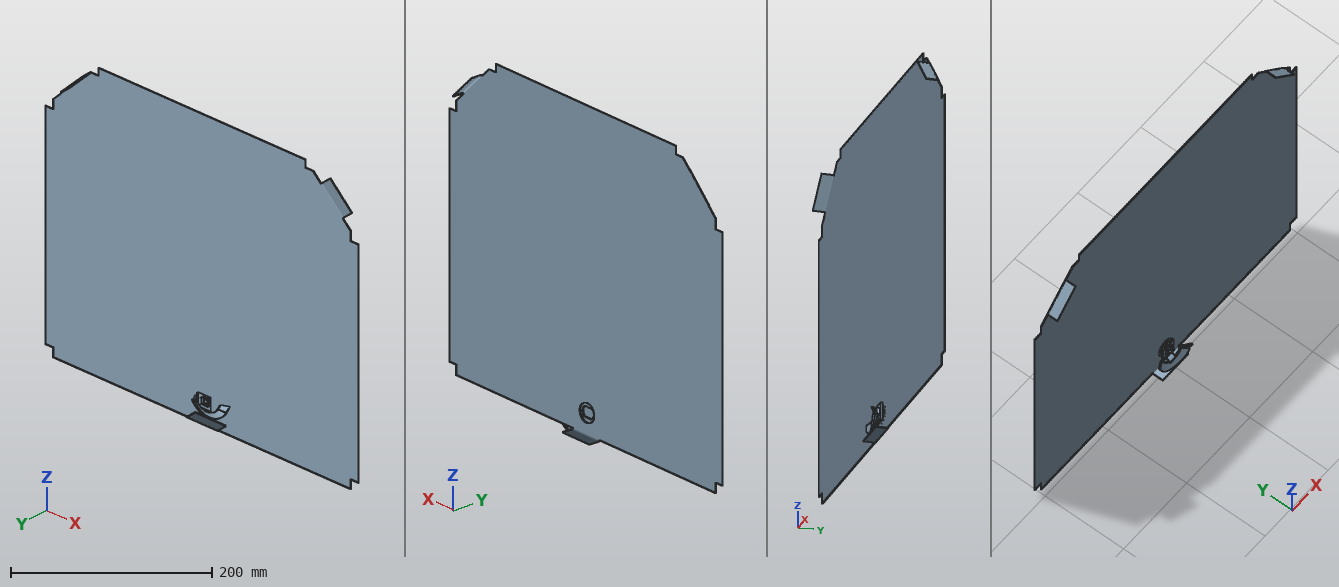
import cadquery as cq
import math


panel_width = 415.5
sheet = 1.0
bend_inner = 0.5
bend_outer = bend_inner + sheet
overall_height = 357.5
panel_height = overall_height - bend_outer
side_notch = 10.5
top_notch = 9.0
bottom_notch = 11.2
top_half_width = 137.0
corner_cut = 50.0
side_top_drop = 70.5
tab_length = 40.7
corner_tab_turn = 135.0
tab_depth = 12.5

latch_height = 22.5
barrel_diameter = 16.5
spacer = 1.2
block_front = 3.5
shaft_width = 9.0
shaft_height = 7.5

head_diameter = 21.0
head_thickness = 1.45
grip_diameter = 15.5
grip_height = 11.2
bolt_back = 3.0
shaft_front = 6.2
socket = 6.0
socket_depth = 2.5

block_size = 16.5
foot_height = 1.45
foot_front = 4.0
cam_sheet = 1.5
neck_width = 8.7
neck_front = 9.0
neck_overlap = 0.62
blade_inner_radius = 13.7
blade_outer_radius = 21.5
blade_start = 198.0
blade_end = 333.0
blade_tilt = 22.0
blade_reach = 29.0
left_rise = 10.0
middle_rise = 2.3
right_rise = 18.5
lip_end = 352.0
lip_rise = 11.0
lip_slant = 25.0
lip_angle = 28.0


def facing_front(y):
    """Workplane centred on the latch axis at depth y, drawn in X and Z, normal to -Y."""
    return cq.Workplane("XZ", origin=(0, y, latch_height))


def polar(radius, degrees):
    """Point at a radius and direction from the origin."""
    angle = math.radians(degrees)
    return radius * math.cos(angle), radius * math.sin(angle)


def make_tab(x, z, turn):
    """Tab bent to the front at the edge point (x, z); turn = 0 lies under a bottom edge."""
    bend_middle = -45
    outer_y, outer_z = polar(bend_outer, bend_middle)
    inner_y, inner_z = polar(bend_inner, bend_middle)
    tab = (
        cq.Workplane("YZ", origin=(-tab_length / 2, 0, 0))
        .moveTo(sheet, 0)
        .threePointArc((outer_y - bend_inner, outer_z), (-bend_inner, -bend_outer))
        .lineTo(-tab_depth, -bend_outer)
        .lineTo(-tab_depth, -bend_inner)
        .lineTo(-bend_inner, -bend_inner)
        .threePointArc((inner_y - bend_inner, inner_z), (0, 0))
        .close()
        .extrude(tab_length)
    )
    return tab.rotate((0, 0, 0), (0, 1, 0), turn).translate((x, 0, z))


def make_panel():
    """Notched sheet with cut top corners, three tabs and the hole for the latch barrel."""
    half = panel_width / 2
    inner = half - side_notch
    shoulder = panel_height - top_notch
    right_side = [
        (inner, 0),
        (inner, bottom_notch),
        (half, bottom_notch),
        (half, panel_height - side_top_drop),
        (inner, panel_height - side_top_drop),
        (inner, shoulder - corner_cut),
        (inner - corner_cut, shoulder),
        (top_half_width, shoulder),
        (top_half_width, panel_height),
    ]
    left_side = [(-x, z) for x, z in reversed(right_side)]
    panel = cq.Workplane("XZ", origin=(0, sheet, 0)).polyline(right_side + left_side).close().extrude(sheet)
    cut_middle_x = inner - corner_cut / 2
    cut_middle_z = shoulder - corner_cut / 2
    panel = panel.union(make_tab(0, 0, 0))
    for side in (-1, 1):
        panel = panel.union(make_tab(side * cut_middle_x, cut_middle_z, -side * corner_tab_turn))
    hole = facing_front(sheet).circle(barrel_diameter / 2).extrude(sheet)
    return panel.cut(hole)


def make_bolt():
    """Grip and head behind the panel, barrel through it and shaft in front."""
    back = sheet + bolt_back
    grip = facing_front(back).circle(grip_diameter / 2).extrude(bolt_back)
    flats = facing_front(back).rect(grip_diameter, grip_height).extrude(bolt_back)
    head = facing_front(sheet + head_thickness).circle(head_diameter / 2).extrude(head_thickness)
    barrel = facing_front(sheet).circle(barrel_diameter / 2).extrude(sheet + spacer)
    shaft = facing_front(-spacer).rect(shaft_width, shaft_height).extrude(shaft_front - spacer)
    recess = facing_front(-shaft_front + socket_depth).rect(socket, socket).extrude(socket_depth)
    return grip.intersect(flats).union(head).union(barrel).union(shaft).cut(recess)


def arc_band(start, end):
    """Prism over the band around the latch axis between two directions."""
    middle = (start + end) / 2
    return (
        facing_front(0)
        .moveTo(*polar(blade_inner_radius, start))
        .lineTo(*polar(blade_outer_radius, start))
        .threePointArc(polar(blade_outer_radius, middle), polar(blade_outer_radius, end))
        .lineTo(*polar(blade_inner_radius, end))
        .threePointArc(polar(blade_inner_radius, middle), polar(blade_inner_radius, start))
        .close()
        .extrude(blade_reach)
    )


def make_blade():
    """Curved strip leaning to the front, trimmed to a band around the latch axis."""
    tilt = math.radians(blade_tilt)
    down = (0, -math.sin(tilt), -math.cos(tilt))
    section = cq.Plane(origin=(0, 0, latch_height), xDir=(1, 0, 0), normal=down)
    strip = (
        cq.Workplane(section)
        .moveTo(-blade_reach, left_rise)
        .threePointArc((0, middle_rise), (blade_reach, right_rise))
        .offset2D(cam_sheet / 2)
        .extrude(blade_reach, both=True)
    )
    return strip.intersect(arc_band(blade_start, blade_end))


def make_lip():
    """Steeper end of the blade, folded to the front along a radial line."""
    root_x, root_z = polar((blade_inner_radius + blade_outer_radius) / 2, blade_end)
    out_x, out_z = polar(1, blade_end)
    slant = math.tan(math.radians(lip_slant))
    section = cq.Plane(
        origin=(root_x, -lip_rise, latch_height + root_z),
        xDir=(-out_z, 0, out_x),
        normal=(out_x, -slant, out_z),
    )
    strip = (
        cq.Workplane(section)
        .transformed(rotate=(0, 0, lip_angle))
        .rect(blade_reach, cam_sheet)
        .extrude(blade_reach / 2, both=True)
    )
    return strip.intersect(arc_band(blade_end, lip_end))


def make_neck():
    """Sloping strip from the foot of the block into the inner edge of the blade."""
    top = latch_height - block_size / 2
    bottom = latch_height - blade_inner_radius - neck_overlap
    profile = [
        (-spacer, top),
        (-block_front, top),
        (-neck_front, bottom + cam_sheet),
        (-neck_front, bottom),
        (-spacer, top - foot_height),
    ]
    return cq.Workplane("YZ", origin=(-neck_width / 2, 0, 0)).polyline(profile).close().extrude(neck_width)


def make_cam():
    """Square block on the shaft with a foot, and the blade hanging from it by the neck."""
    block = facing_front(-spacer).rect(block_size, block_size).extrude(block_front - spacer)
    hole = facing_front(-spacer).rect(shaft_width, shaft_height).extrude(block_front)
    foot_middle = -(block_size + foot_height) / 2
    foot_face = facing_front(-spacer).center(0, foot_middle).rect(block_size, foot_height)
    foot = foot_face.extrude(foot_front - spacer)
    return block.cut(hole).union(foot).union(make_neck()).union(make_blade()).union(make_lip())


panel = make_panel()
bolt = make_bolt()
cam = make_cam()
result = cq.Compound.makeCompound([panel.val(), bolt.val(), cam.val()])